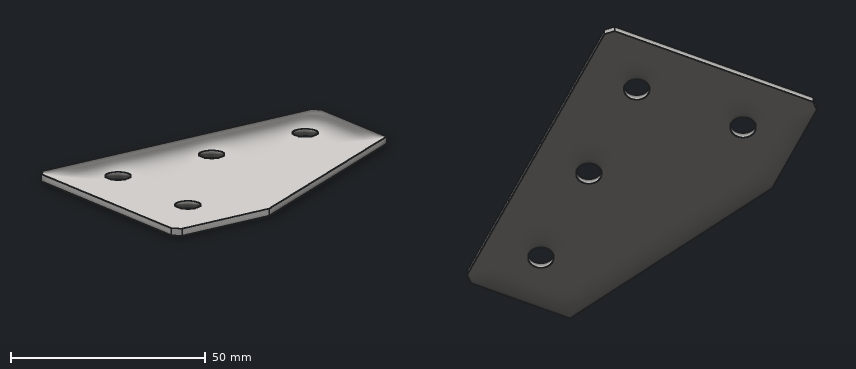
import cadquery as cq

pitch = 30.0
thickness = 2.0
hole_diameter = 6.6
corner_chamfer = 2.0

width = 2 * pitch
height = 3 * pitch
edge_distance = pitch / 2

hole_cells = [(0, 0), (1, 0), (0, 1), (0, 2)]


def plate():
    """Rectangular plate with its upper right corner cut off by a slanted edge."""
    outline = [
        (0, 0),
        (width, 0),
        (width, pitch),
        (pitch, height),
        (0, height),
    ]
    return cq.Workplane("XY").polyline(outline).close().extrude(thickness)


def chamfer_square_corners(body):
    """Break the three right-angled corners; the slanted edge's ends stay sharp."""
    left_corners = body.edges("|Z and <X").chamfer(corner_chamfer)
    return left_corners.edges("|Z and >X").edges("<Y").chamfer(corner_chamfer)


def drill_holes(body):
    """Through holes at the centres of the chosen grid squares."""
    centres = [(edge_distance + column * pitch, edge_distance + row * pitch) for column, row in hole_cells]
    drills = cq.Workplane("XY").pushPoints(centres).circle(hole_diameter / 2).extrude(thickness)
    return body.cut(drills)


result = drill_holes(chamfer_square_corners(plate()))